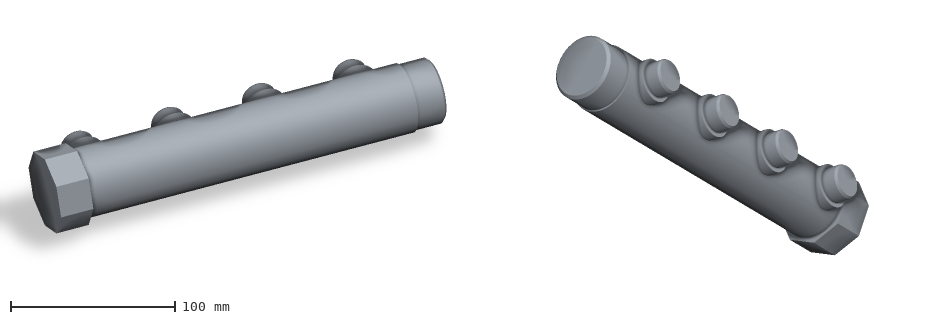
import cadquery as cq

total_length = 257.0

cap_corner_diameter = 52.0
cap_length = 21.3
cap_sides = 8

neck_diameter = 43.2
neck_length = 0.8

tube_diameter = 43.7
spigot_diameter = 41.6
spigot_length = 19.8
spigot_chamfer = 1.8

outlet_count = 4
outlet_pitch = 60.0
first_outlet_y = 35.2
collar_diameter = 27.5
collar_reach = 24.7
stub_diameter = 21.8
stub_reach = 36.0
stub_chamfer_length = 1.8
stub_chamfer_depth = 1.0


def rod_along_y(diameter, start, end):
    """Solid cylinder on the main axis between two Y positions."""
    plane = cq.Workplane("XZ", origin=(0, start, 0))
    return plane.circle(diameter / 2).extrude(start - end)


def make_cap():
    """Octagonal prism with corners on the X and Z axes."""
    return cq.Workplane("XZ").polygon(cap_sides, cap_corner_diameter).extrude(-cap_length)


def make_outlet(y):
    """Collar and stub pointing toward -X, both starting at the tube axis."""
    plane = cq.Workplane("YZ", origin=(0, y, 0))
    collar = plane.circle(collar_diameter / 2).extrude(-collar_reach)
    stub = plane.circle(stub_diameter / 2).extrude(-stub_reach)
    stub_tip = stub.faces("<X").edges()
    stub = stub_tip.chamfer(stub_chamfer_length, stub_chamfer_depth)
    return collar.union(stub)


spigot_start = total_length - spigot_length
tube_start = cap_length + neck_length
neck = rod_along_y(neck_diameter, cap_length, tube_start)
tube = rod_along_y(tube_diameter, tube_start, spigot_start)
spigot = rod_along_y(spigot_diameter, spigot_start, total_length)
spigot = spigot.faces(">Y").edges().chamfer(spigot_chamfer)

result = make_cap().union(neck).union(tube).union(spigot)
for index in range(outlet_count):
    result = result.union(make_outlet(first_outlet_y + index * outlet_pitch))